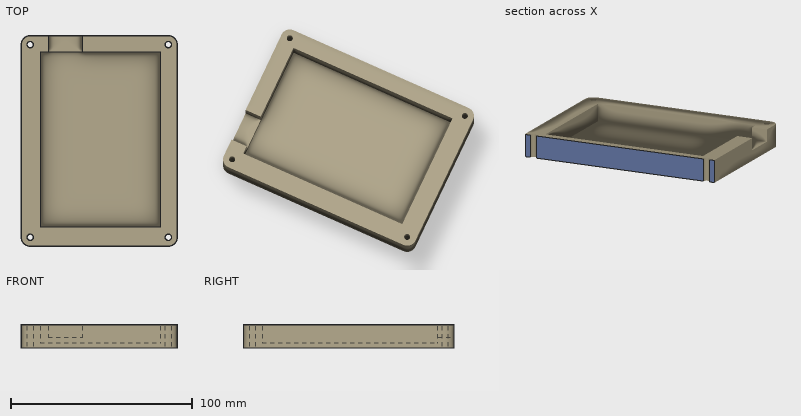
import cadquery as cq

width = 86.0
length = 116
height = 13.0
corner_radius = 5.0

left_wall = 10.5
right_wall = 9.2
front_wall = 10.5
back_wall = 9.2
pocket_depth = 10.0
pocket_width = width - left_wall - right_wall
pocket_length = length - front_wall - back_wall

notch_left = 15.1
notch_width = 18.6
notch_depth = 7

hole_diameter = 3.4


def make_body():
    """Plate with rounded vertical edges, one corner of its box at the origin."""
    plate = cq.Workplane("XY").box(width, length, height, centered=False)
    return plate.edges("|Z").fillet(corner_radius)


def make_cut(x, y, size_x, size_y, depth):
    """Rectangular cutter reaching down from the top face."""
    cutter = cq.Workplane("XY").box(size_x, size_y, depth, centered=False)
    return cutter.translate((x, y, height - depth))


def make_holes():
    """Four through holes at the corner arc centres."""
    spacing_x = width - 2 * corner_radius
    spacing_y = length - 2 * corner_radius
    return (
        cq.Workplane("XY")
        .center(width / 2, length / 2)
        .rect(spacing_x, spacing_y, forConstruction=True)
        .vertices()
        .circle(hole_diameter / 2)
        .extrude(height)
    )


pocket = make_cut(left_wall, front_wall, pocket_width, pocket_length, pocket_depth)
notch = make_cut(notch_left, length - back_wall, notch_width, back_wall, notch_depth)
result = make_body().cut(pocket).cut(notch).cut(make_holes())